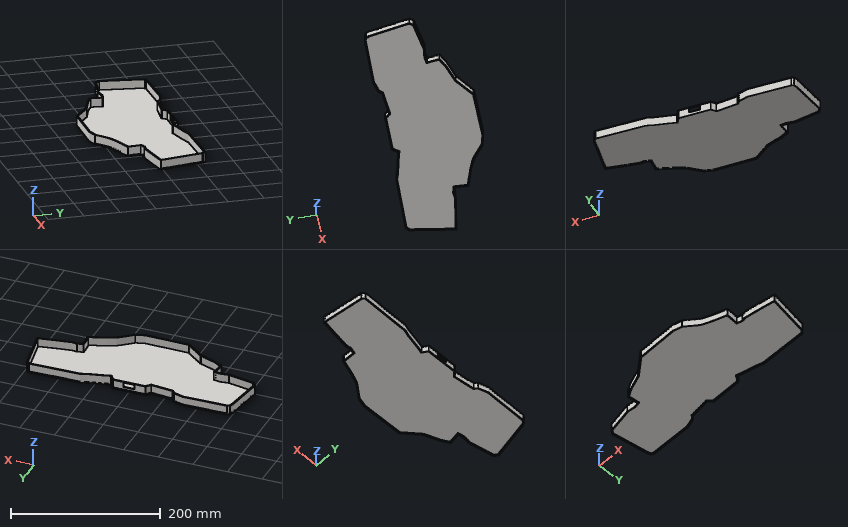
import cadquery as cq

height = 13.5
wall = 1.5
floor = 1.3

tab_half_width = 24.0
tab_y = 59.5

slot_length = 15.8
slot_height = 7.0
slot_corner_radius = 1.3
slot_top_margin = 1.0

rear_left_edge = [
    (-143.5, 64.2),
    (-79.7, 65.2),
    (-64.5, 60.7),
    (-61.0, 56.3),
    (-29.5, 52.8),
]
rear_tab = [
    (-tab_half_width, tab_y),
    (tab_half_width, tab_y),
]
rear_right_edge = [
    (29.5, 51.5),
    (40.0, 54.5),
    (60.0, 59.0),
    (69.5, 62.3),
]
right_wing = [
    (143.3, 63.5),
    (147.5, 59.0),
    (158.2, -3.0),
    (133.8, -7.3),
    (110.0, -11.0),
    (103.0, -10.0),
    (95.5, -12.3),
]
front_edge = [
    (96.8, -31.0),
    (73.5, -39.2),
    (61.5, -44.3),
    (56.5, -47.5),
    (40.2, -61.0),
    (26.3, -65.0),
    (-36.7, -64.2),
    (-62.0, -44.3),
    (-85.5, -35.7),
    (-97.7, -28.8),
]
left_wing = [
    (-96.0, -12.0),
    (-103.8, -10.8),
    (-115.8, -12.3),
    (-154.0, -5.0),
    (-158.2, 0.5),
    (-149.3, 57.3),
    (-147.5, 62.3),
]
outline = rear_left_edge + rear_tab + rear_right_edge + right_wing + front_edge + left_wing


def make_tray():
    """Outline block hollowed from above, leaving the floor and an even wall."""
    block = cq.Workplane("XY").polyline(outline).close().extrude(height)
    cavity = (
        cq.Workplane("XY", origin=(0, 0, floor))
        .polyline(outline)
        .close()
        .offset2D(-wall, "intersection")
        .extrude(height - floor)
    )
    return block.cut(cavity)


def make_connector_slot():
    """Rounded bar that passes right through the tab wall."""
    cut_depth = 4 * wall
    slot_z = height - slot_top_margin - slot_height / 2
    return (
        cq.Workplane("XY")
        .box(slot_length, cut_depth, slot_height)
        .edges("|Y")
        .fillet(slot_corner_radius)
        .translate((0, tab_y - wall / 2, slot_z))
    )


result = make_tray().cut(make_connector_slot())